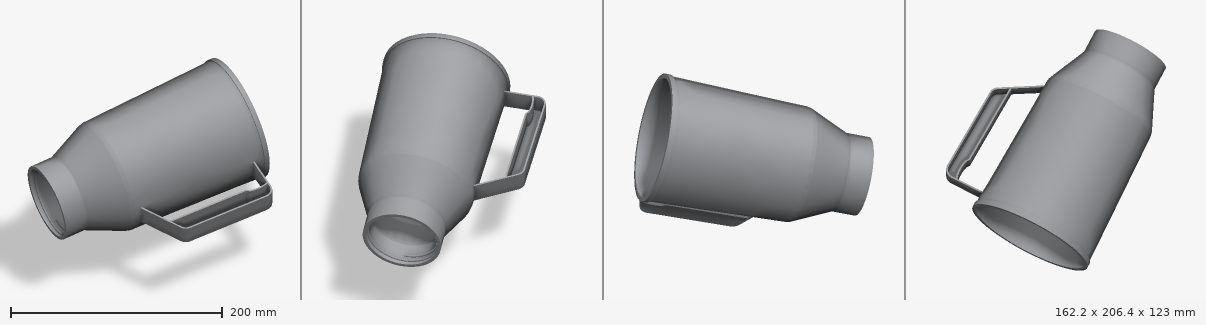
import cadquery as cq
import math

length = 206.4
rim_radius = 61.5
rim_height = 5.0
body_top_radius = 60.5
shoulder_radius = 55.5
shoulder_y = 63.2
shoulder_fillet = 12.4
neck_radius = 37.8
neck_length = 23.1
neck_fillet = 2.0
bore_radius = 69.0 / 2
edge_margin = 2.0
wall = neck_radius - bore_radius

thread_height = 1.7
thread_round = 1.2
thread_pitch = 5.8
thread_turns = 1.25
thread_start_y = 10.5
thread_start_angle = -90

strip_width = 21.5
strip_thickness = 1.7
handle_top_y = 191.3
handle_reach = 101.0
handle_taper = 2.0
brace_angle = 30.0
brace_foot_x = 55.0
brace_foot_y = 70.8
corner_radius = 9.3
grip_depth = 16.3
thumb_top_x = 85.5
thumb_middle = (87.3, 179.5)
thumb_bottom = (85.9, 170.5)
thumb_end_y = 167.8


def round_circle(body, y, radius):
    """Fillet the circular edge at height y of a revolved body."""
    low = (-rim_radius, y - edge_margin, -rim_radius)
    high = (rim_radius, y + edge_margin, rim_radius)
    return body.edges(cq.selectors.BoxSelector(low, high, boundingbox=True)).fillet(radius)


def make_body():
    """Solid outside of the funnel, with the rim band at its wide end."""
    outside = (
        cq.Workplane("XY")
        .polyline([
            (0, 0),
            (neck_radius, 0),
            (neck_radius, neck_length),
            (shoulder_radius, shoulder_y),
            (body_top_radius, length),
            (0, length),
        ])
        .close()
        .revolve(360, (0, 0, 0), (0, 1, 0))
    )
    outside = round_circle(outside, shoulder_y, shoulder_fillet)
    outside = round_circle(outside, neck_length, neck_fillet)
    rim = cq.Workplane("XZ", origin=(0, length, 0)).circle(rim_radius).extrude(rim_height)
    return outside.union(rim)


def make_cavity():
    """Inside of the funnel, parallel to its outside at the wall thickness."""
    cone_angle = math.atan2(shoulder_radius - neck_radius, shoulder_y - neck_length)
    body_angle = math.atan2(body_top_radius - shoulder_radius, length - shoulder_y)
    body_offset = wall / math.cos(body_angle)
    neck_inner_y = neck_length + wall * math.tan(cone_angle / 2)
    miter = (cone_angle + body_angle) / 2
    miter_length = wall / math.cos((cone_angle - body_angle) / 2)
    return (
        cq.Workplane("XY")
        .polyline([
            (0, 0),
            (bore_radius, 0),
            (bore_radius, neck_inner_y),
            (shoulder_radius - miter_length * math.cos(miter), shoulder_y + miter_length * math.sin(miter)),
            (body_top_radius - body_offset, length),
            (0, length),
        ])
        .close()
        .revolve(360, (0, 0, 0), (0, 1, 0))
    )


def make_thread():
    """Helical ridge of round section running toward the neck opening."""
    path = cq.Wire.makeHelix(thread_pitch, thread_pitch * thread_turns, bore_radius)
    ridge = (
        cq.Workplane("XZ")
        .center(bore_radius - thread_height + thread_round, 0)
        .circle(thread_round)
        .sweep(cq.Workplane(obj=path), isFrenet=True)
    )
    return (
        ridge.rotate((0, 0, 0), (0, 0, 1), thread_start_angle)
        .rotate((0, 0, 0), (1, 0, 0), 90)
        .translate((0, thread_start_y, 0))
    )


def handle_area(inset):
    """Area bounded by the handle strip, reaching in to the Y axis, shrunk by an inset."""
    taper = math.tan(math.radians(handle_taper))
    slope = math.tan(math.radians(brace_angle))
    top_y = handle_top_y - inset
    side_x = handle_reach - taper * handle_top_y - inset / math.cos(math.radians(handle_taper))
    brace_y = brace_foot_y - slope * brace_foot_x + inset / math.cos(math.radians(brace_angle))
    corner_y = (brace_y + slope * side_x) / (1 - slope * taper)
    area = (
        cq.Workplane("XY", origin=(0, 0, -strip_width / 2))
        .polyline([
            (0, top_y),
            (side_x + taper * top_y, top_y),
            (side_x + taper * corner_y, corner_y),
            (0, brace_y),
        ])
        .close()
        .extrude(strip_width)
    )
    return area.edges("|Z and (not <X)").fillet(corner_radius - inset)


def grip_area(inset):
    """Region on the palm side of the grip wall, with a thumb recess near its top."""
    taper = math.tan(math.radians(handle_taper))
    wall_x = handle_reach - grip_depth - taper * handle_top_y + inset
    far_x = handle_reach + grip_depth
    return (
        cq.Workplane("XY", origin=(0, 0, -strip_width / 2))
        .moveTo(far_x, 0)
        .lineTo(wall_x, 0)
        .lineTo(wall_x + taper * thumb_end_y, thumb_end_y)
        .lineTo(thumb_bottom[0] + inset, thumb_bottom[1])
        .threePointArc((thumb_middle[0] + inset, thumb_middle[1]), (thumb_top_x + inset, handle_top_y))
        .lineTo(far_x, handle_top_y)
        .close()
        .extrude(strip_width)
    )


def make_handle():
    """Strip plus an open-topped grip tray with its floor on the -Z side."""
    inner = handle_area(strip_thickness)
    strip = handle_area(0).cut(inner)
    tray = inner.intersect(grip_area(0))
    pocket = inner.intersect(grip_area(strip_thickness)).translate((0, 0, strip_thickness))
    return strip.union(tray.cut(pocket))


funnel = make_body().union(make_handle()).cut(make_cavity())
result = funnel.union(make_thread())